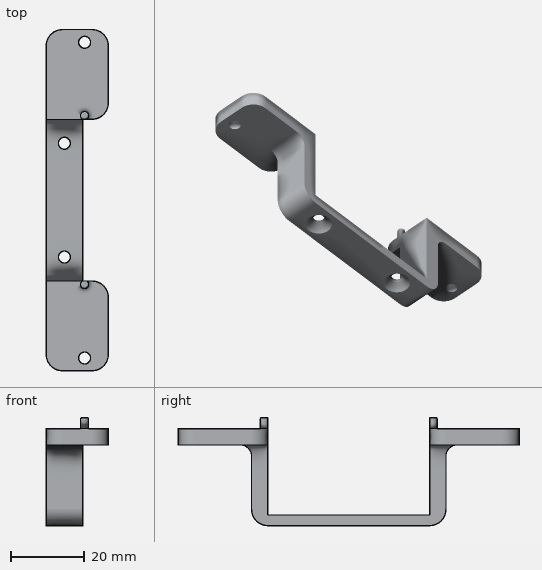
import cadquery as cq

length = 93.0
strap_width = 10.0
pad_width = 17.0
pad_top = 26.5

base_thickness = 3.0
arm_thickness = 4.5
pad_thickness = 4.5

inner_span = 44.0

pad_corner_radius = 4.5
bend_outer_radius = 4.5
under_pad_radius = 3.0

hole_diameter = 3.2
base_hole_spacing = 31.0
base_hole_straight_depth = 1.0
base_head_diameter = 7.2
pad_hole_x = 10.5
pad_hole_end_distance = 3.5

pin_diameter = 2.25
pin_height = 3.0
pin_edge_round = 0.5
pin_x = pad_hole_x
pin_edge_distance = 1.0

half_length = length / 2
half_inner = inner_span / 2
head_depth = base_thickness - base_hole_straight_depth
half_outer = half_inner + arm_thickness
pad_length = half_length - half_inner
pad_underside = pad_top - pad_thickness
pad_hole_y = half_length - pad_hole_end_distance
pin_y = half_inner + pin_edge_distance


def make_channel():
    """U-shaped strap: a thin base between two upright arms."""
    outer = cq.Workplane("XY").box(strap_width, 2 * half_outer, pad_top, centered=(False, True, False))
    outer = outer.edges("|X and <Z").fillet(bend_outer_radius)
    opening = (
        cq.Workplane("XY")
        .workplane(offset=base_thickness)
        .box(strap_width, inner_span, pad_top - base_thickness, centered=(False, True, False))
    )
    return outer.cut(opening)


def make_pad(side):
    """Mounting pad; the corner where its straight side meets the arm stays square."""
    pad = (
        cq.Workplane("XY")
        .box(pad_width, pad_length, pad_thickness, centered=(False, True, False))
        .translate((0, side * (half_inner + pad_length / 2), pad_underside))
    )
    outer_end = ">Y" if side > 0 else "<Y"
    return pad.edges(f"|Z and (>X or {outer_end})").fillet(pad_corner_radius)


def make_under_pad_fillet(side):
    """Concave fillet in the corner between an arm and the underside of its pad."""
    return (
        cq.Workplane("YZ")
        .moveTo(side * half_outer, pad_underside)
        .lineTo(side * (half_outer + under_pad_radius), pad_underside)
        .radiusArc((side * half_outer, pad_underside - under_pad_radius), -side * under_pad_radius)
        .close()
        .extrude(strap_width)
    )


def make_pin(side):
    """Round-topped locating pin, with a small flat where the inner edge of its pad trims it."""
    pin = (
        cq.Workplane("XY")
        .circle(pin_diameter / 2)
        .extrude(pin_height)
        .faces(">Z")
        .edges()
        .fillet(pin_edge_round)
        .translate((pin_x, side * pin_y, pad_top))
    )
    space_between_arms = (
        cq.Workplane("XY")
        .workplane(offset=pad_top)
        .box(pad_width, inner_span, pin_height, centered=(False, True, False))
    )
    return pin.cut(space_between_arms)


def make_hole(x, y):
    """Cutter for a vertical screw hole through the full height."""
    return cq.Workplane("XY").center(x, y).circle(hole_diameter / 2).extrude(pad_top)


def make_head_recess(x, y):
    """Conical screw-head recess in the underside of the base, narrowing up to the hole."""
    return (
        cq.Workplane("XY")
        .center(x, y)
        .circle(base_head_diameter / 2)
        .workplane(offset=head_depth)
        .circle(hole_diameter / 2)
        .loft(ruled=True)
    )


result = make_channel()
for side in (-1, 1):
    result = result.union(make_pad(side))
    result = result.union(make_under_pad_fillet(side))
    result = result.union(make_pin(side))

for side in (-1, 1):
    result = result.cut(make_hole(pad_hole_x, side * pad_hole_y))
    result = result.cut(make_hole(strap_width / 2, side * base_hole_spacing / 2))
    result = result.cut(make_head_recess(strap_width / 2, side * base_hole_spacing / 2))